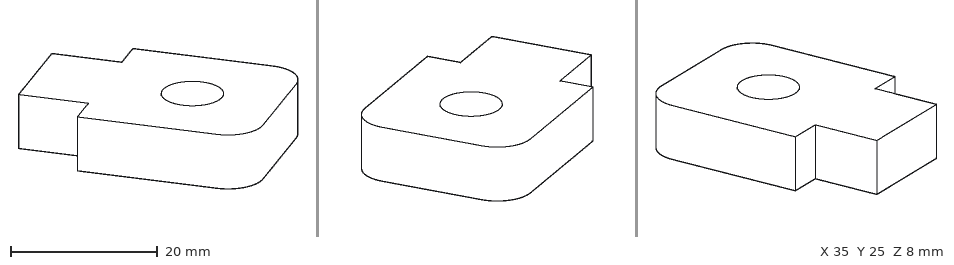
import cadquery as cq

total_length = 35.0
body_width = 25.0
thickness = 8.0
tab_length = 10.0
tab_width = 15.0
corner_radius = 5.0
hole_diameter = 8.5

body_length = total_length - tab_length
body_center_x = tab_length + body_length / 2

body = (
    cq.Workplane("XY")
    .center(body_center_x, 0)
    .rect(body_length, body_width)
    .extrude(thickness)
    .edges("|Z and >X")
    .fillet(corner_radius)
)

tab = (
    cq.Workplane("XY")
    .center(tab_length / 2, 0)
    .rect(tab_length, tab_width)
    .extrude(thickness)
)

hole = (
    cq.Workplane("XY")
    .center(body_center_x, 0)
    .circle(hole_diameter / 2)
    .extrude(thickness)
)

result = body.union(tab).cut(hole)